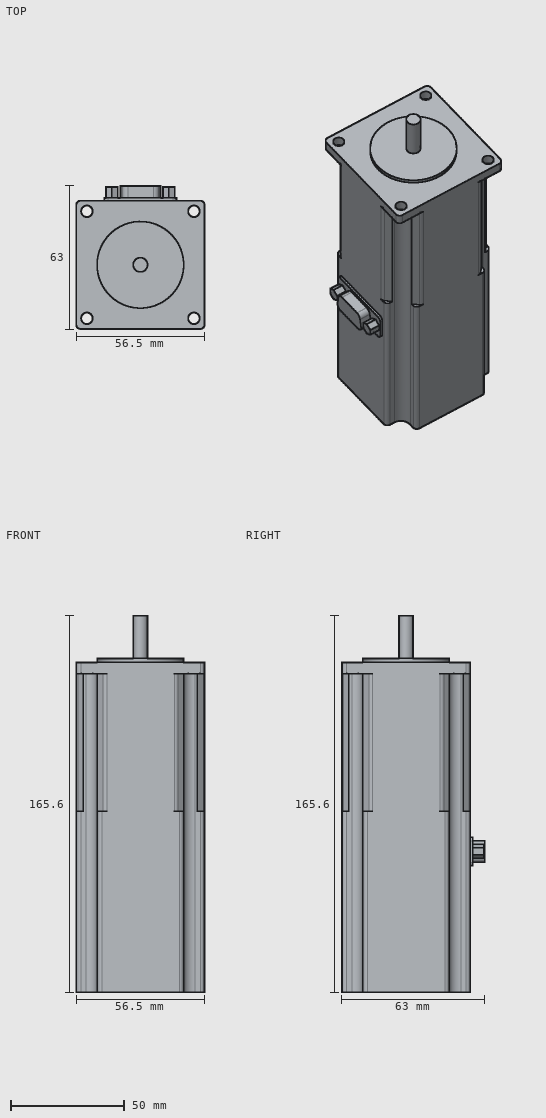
import cadquery as cq
import math

total_height = 165.6
shaft_length = 18.9
pilot_height = 1.7
flange_thickness = 5.0
flange_top = total_height - shaft_length - pilot_height
flange_bottom = flange_top - flange_thickness
lower_body_top = 79.7

width = 56.5
half_width = width / 2
flange_corner_radius = 2.0
pilot_diameter = 38.1
shaft_diameter = 6.3
hole_diameter = 5.0
hole_spacing = 47.0

groove_center_inset = 4.3
wall_inset = 9.3
groove_radius = wall_inset - groove_center_inset
lip_radius = 2.0

bevel_size = 3.1
bevel_blend_radius = 2.3

connector_z = 62.0
plate_width = 31.8
plate_height = 12.6
plate_thickness = 1.2
plate_corner_radius = 1.7
shell_width = 18.9
shell_height = 9.6
shell_side_angle = 10.0
shell_corner_radius = 2.5
shell_reach = 6.5
screw_spacing = 25.0
screw_across_flats = 5.3
screw_reach = 6.0


def block(bottom, top):
    """Square block of the full body width between two heights."""
    return cq.Workplane("XY").workplane(offset=bottom).rect(width, width).extrude(top - bottom)


def at_corners(cutter):
    """Copies of a cutter, drawn for the -X -Y corner, turned to all four corners."""
    copies = cutter
    for turn in (90, 180, 270):
        copies = copies.union(cutter.rotate((0, 0, 0), (0, 0, 1), turn))
    return copies


def corner_relief(height):
    """Corner prism with a concave quarter-round inner end and two straight walls."""
    edge = -half_width
    center = edge + groove_center_inset
    wall = edge + wall_inset
    arc_middle = center + groove_radius * math.sqrt(0.5)
    return (
        cq.Workplane("XY")
        .moveTo(edge, edge)
        .lineTo(wall, edge)
        .lineTo(wall, center)
        .threePointArc((arc_middle, arc_middle), (center, wall))
        .lineTo(edge, wall)
        .close()
        .extrude(height)
    )


def lip_bevel():
    """Cutter for the -Y side lip: a 45 degree bevel rounded tangentially into the outer face."""
    edge = -half_width
    wall = edge + wall_inset
    bevel_end = wall + bevel_size
    half_angle = math.radians(22.5)
    tangent_length = bevel_blend_radius * math.tan(half_angle)
    tangent_offset = tangent_length * math.sqrt(0.5)
    face_end = bevel_end + tangent_length
    blend_middle = (
        face_end - bevel_blend_radius * math.sin(half_angle),
        edge + bevel_blend_radius * (1 - math.cos(half_angle)),
    )
    return (
        cq.Workplane("XY")
        .workplane(offset=lower_body_top)
        .moveTo(wall, edge)
        .lineTo(face_end, edge)
        .threePointArc(blend_middle, (bevel_end - tangent_offset, edge + tangent_offset))
        .lineTo(wall, edge + bevel_size)
        .close()
        .extrude(flange_bottom - lower_body_top)
    )


def make_body():
    relief = at_corners(corner_relief(flange_bottom))
    lower = block(0, lower_body_top).cut(relief)
    on_wall = half_width - wall_inset
    for side_x in (-1, 1):
        for side_y in (-1, 1):
            for x, y in ((half_width, on_wall), (on_wall, half_width)):
                lip = (side_x * x, side_y * y, lower_body_top / 2)
                lower = lower.edges(cq.selectors.NearestToPointSelector(lip)).fillet(lip_radius)
    bevel = lip_bevel()
    mirrored_bevel = bevel.mirror(cq.Vector(1, -1, 0), (0, 0, 0))
    upper = block(lower_body_top, flange_bottom).cut(relief)
    upper = upper.cut(at_corners(bevel)).cut(at_corners(mirrored_bevel))
    return lower.union(upper)


def make_mounting_face():
    flange = block(flange_bottom, flange_top).edges("|Z").fillet(flange_corner_radius)
    flange = (
        flange.faces(">Z").workplane()
        .rect(hole_spacing, hole_spacing, forConstruction=True)
        .vertices()
        .hole(hole_diameter)
    )
    pilot = cq.Workplane("XY").workplane(offset=flange_top).circle(pilot_diameter / 2).extrude(pilot_height)
    shaft_base = flange_top + pilot_height
    shaft = cq.Workplane("XY").workplane(offset=shaft_base).circle(shaft_diameter / 2).extrude(shaft_length)
    return flange.union(pilot).union(shaft)


def connector_plane():
    """XZ workplane on the +Y face, centered on the connector; a negative extrusion goes toward +Y."""
    return cq.Workplane("XZ", origin=(0, half_width, connector_z))


def make_connector():
    plate = connector_plane().rect(plate_width, plate_height).extrude(-plate_thickness)
    plate = plate.edges("|Y").fillet(plate_corner_radius)
    bottom_half = shell_width / 2
    top_half = bottom_half - shell_height * math.tan(math.radians(shell_side_angle))
    shell = (
        connector_plane()
        .polyline([
            (-top_half, shell_height / 2),
            (top_half, shell_height / 2),
            (bottom_half, -shell_height / 2),
            (-bottom_half, -shell_height / 2),
        ])
        .close()
        .extrude(-shell_reach)
        .edges("|Y")
        .fillet(shell_corner_radius)
    )
    corner_distance = screw_across_flats / math.sqrt(3)
    corner_angles = [math.radians(60 * corner) for corner in range(6)]
    hexagon = [(corner_distance * math.sin(a), corner_distance * math.cos(a)) for a in corner_angles]
    connector = plate.union(shell)
    for x in (-screw_spacing / 2, screw_spacing / 2):
        screw = connector_plane().polyline(hexagon).close().extrude(-screw_reach).translate((x, 0, 0))
        connector = connector.union(screw)
    return connector


result = make_body().union(make_mounting_face()).union(make_connector())